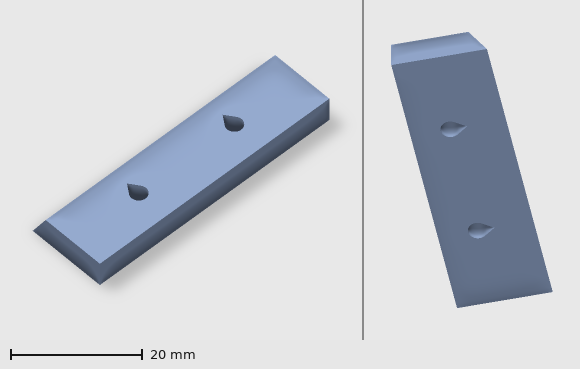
import cadquery as cq
import math

length = 48.0
height = 5.0
top_width = 12.0
slope_angle = 30.0
slope_run = height * math.tan(math.radians(slope_angle))

hole_radius = 1.5
hole_spacing = 20.0
hole_to_square_side = 6.2
tip_angle = 70.0
tip_distance = hole_radius / math.sin(math.radians(tip_angle / 2))


def make_bar():
    """Trapezoidal bar: square side on +X, sloped side on -X, base on Z = 0."""
    square_side_x = top_width / 2
    top_edge_x = -top_width / 2
    profile = [
        (top_edge_x - slope_run, 0),
        (square_side_x, 0),
        (square_side_x, height),
        (top_edge_x, height),
    ]
    return cq.Workplane("XZ").polyline(profile).close().extrude(length / 2, both=True)


def make_teardrop(center_x, center_y):
    """Round hole whose two tangent flats meet in a point on the -X side."""
    tangent_x = -hole_radius**2 / tip_distance
    tangent_y = math.sqrt(hole_radius**2 - tangent_x**2)
    return (
        cq.Workplane("XY")
        .center(center_x, center_y)
        .moveTo(-tip_distance, 0)
        .lineTo(tangent_x, -tangent_y)
        .threePointArc((hole_radius, 0), (tangent_x, tangent_y))
        .close()
        .extrude(height)
    )


result = make_bar()
hole_x = top_width / 2 - hole_to_square_side
for side in (-1, 1):
    result = result.cut(make_teardrop(hole_x, side * hole_spacing / 2))